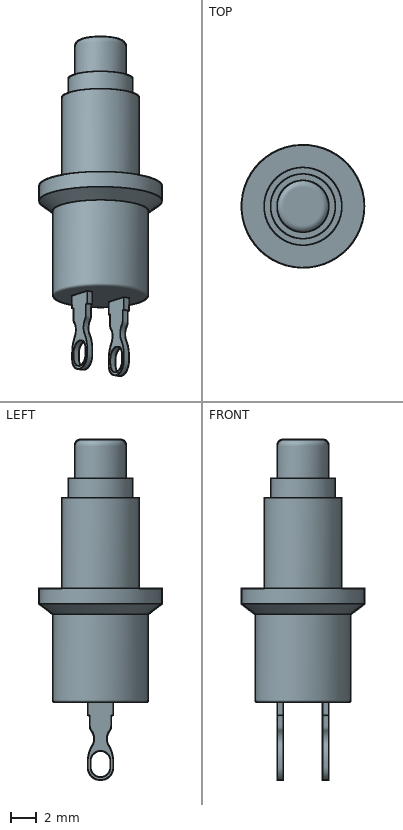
import cadquery as cq
import math


body_diameter = 7.4
body_height = 6.8
body_bottom_round = 0.2
flange_diameter = 9.5
flange_cone_height = 0.8
flange_rim_height = 1.2
bushing_diameter = 6.0
bushing_height = 7.0
collar_diameter = 5.0
collar_height = 1.5
plunger_diameter = 4.0
plunger_height = 3.0
plunger_top_round = 0.5

lug_spacing = 3.5
lug_thickness = 0.5
lug_length = 6.0
lug_half_width = 1.0
lug_step_depth = 1.0
lug_step_fillet = 0.1
shank_half_width = 0.83
shoulder_radius = 0.5
neck_half_width = 0.5
neck_depth = 2.8
neck_radius = 1.0
eye_side_radius = 2.5
eye_wall = 0.25
eye_straight_length = 0.5


def build_body():
    """Stack of coaxial discs with a conical underside to the flange."""
    body = cq.Workplane("XY").circle(body_diameter / 2).extrude(body_height)
    body = body.faces("<Z").edges().fillet(body_bottom_round)

    flange_bottom = body_height
    rim_bottom = flange_bottom + flange_cone_height
    cone = (
        cq.Workplane("XY", origin=(0, 0, flange_bottom))
        .circle(body_diameter / 2)
        .workplane(offset=flange_cone_height)
        .circle(flange_diameter / 2)
        .loft(combine=True)
    )
    body = body.union(cone)

    level = rim_bottom
    upper_steps = [
        (flange_diameter, flange_rim_height),
        (bushing_diameter, bushing_height),
        (collar_diameter, collar_height),
        (plunger_diameter, plunger_height),
    ]
    for diameter, height in upper_steps:
        step = cq.Workplane("XY", origin=(0, 0, level)).circle(diameter / 2).extrude(height)
        body = body.union(step)
        level += height
    return body.faces(">Z").edges().fillet(plunger_top_round)


def point_on_circle(center, radius, angle):
    return (center[0] + radius * math.cos(angle), center[1] + radius * math.sin(angle))


def build_half_lug():
    """Half of a lug outline on the +Y side, with its top edge on the body underside."""
    neck_center = (neck_half_width + neck_radius, -neck_depth)

    shoulder_y = shank_half_width - shoulder_radius
    shoulder_run = neck_center[0] - shoulder_y
    shoulder_rise = math.sqrt((neck_radius + shoulder_radius) ** 2 - shoulder_run**2)
    shoulder_center = (shoulder_y, -neck_depth + shoulder_rise)
    shoulder_angle = -math.atan2(shoulder_rise, shoulder_run)

    eye_side_y = lug_half_width - eye_side_radius
    eye_side_run = neck_center[0] - eye_side_y
    eye_side_drop = math.sqrt((neck_radius + eye_side_radius) ** 2 - eye_side_run**2)
    eye_side_center = (eye_side_y, -neck_depth - eye_side_drop)
    eye_side_angle = math.atan2(eye_side_drop, eye_side_run)

    step_fillet_center = (shank_half_width + lug_step_fillet, -lug_step_depth - lug_step_fillet)
    eye_center = (0, -lug_length + lug_half_width)

    return (
        cq.Workplane("YZ", origin=(-lug_thickness / 2, 0, 0))
        .lineTo(lug_half_width, 0)
        .lineTo(lug_half_width, -lug_step_depth)
        .lineTo(step_fillet_center[0], -lug_step_depth)
        .threePointArc(
            point_on_circle(step_fillet_center, lug_step_fillet, math.radians(135)),
            (shank_half_width, step_fillet_center[1]),
        )
        .lineTo(shank_half_width, shoulder_center[1])
        .threePointArc(
            point_on_circle(shoulder_center, shoulder_radius, shoulder_angle / 2),
            point_on_circle(shoulder_center, shoulder_radius, shoulder_angle),
        )
        .threePointArc(
            (neck_half_width, -neck_depth),
            point_on_circle(eye_side_center, eye_side_radius, eye_side_angle),
        )
        .threePointArc(
            point_on_circle(eye_side_center, eye_side_radius, eye_side_angle / 2),
            (lug_half_width, eye_side_center[1]),
        )
        .lineTo(lug_half_width, eye_center[1])
        .threePointArc(
            point_on_circle(eye_center, lug_half_width, math.radians(-45)),
            (0, -lug_length),
        )
        .close()
        .extrude(lug_thickness)
    )


def build_lug():
    """Symmetric lug, centred on the YZ plane, with an oblong eye hole."""
    half_lug = build_half_lug()
    eye_hole_width = 2 * (lug_half_width - eye_wall)
    eye_hole_length = eye_hole_width + eye_straight_length
    eye_hole_middle = -lug_length + eye_wall + eye_hole_length / 2
    eye_hole = (
        cq.Workplane("YZ", origin=(0, 0, eye_hole_middle))
        .slot2D(eye_hole_length, eye_hole_width, 90)
        .extrude(lug_thickness, both=True)
    )
    return half_lug.union(half_lug.mirror("XZ")).cut(eye_hole)


result = build_body()
lug = build_lug()
for side in (-1, 1):
    result = result.union(lug.translate((side * lug_spacing / 2, 0, 0)))